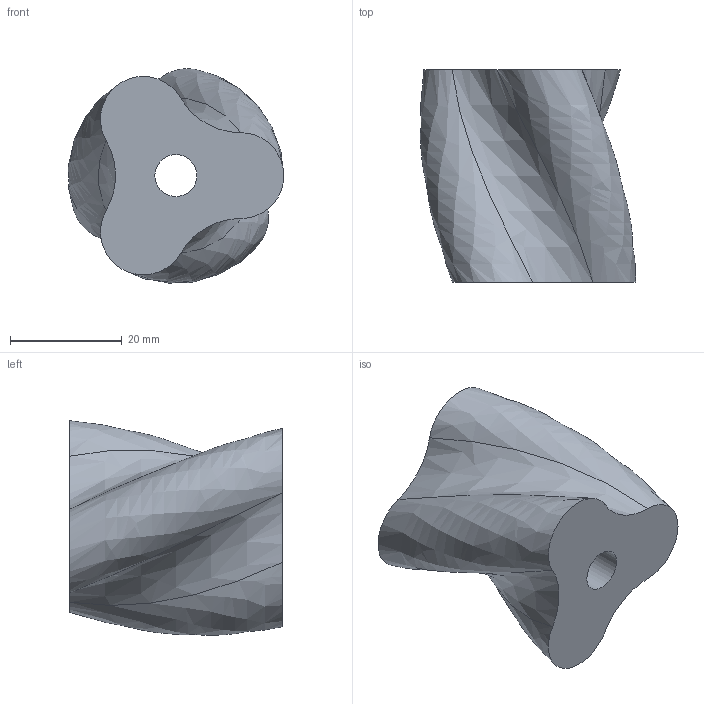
import cadquery as cq
import math

LOBE_COUNT = 3
ROTOR_LENGTH = 38.1
TWIST_ANGLE = 80.0
TIP_RADIUS = 19.35
LOBE_CENTER_RADIUS = 11.65
BORE_DIAMETER = 7.54

LOBE_PITCH = 360.0 / LOBE_COUNT
LOBE_RADIUS = TIP_RADIUS - LOBE_CENTER_RADIUS

VALLEY_CENTER_RADIUS = LOBE_CENTER_RADIUS / math.cos(math.radians(LOBE_PITCH / 2))
VALLEY_RADIUS = LOBE_CENTER_RADIUS * math.tan(math.radians(LOBE_PITCH / 2)) - LOBE_RADIUS
VALLEY_FLOOR_RADIUS = VALLEY_CENTER_RADIUS - VALLEY_RADIUS

JOINT_RADIUS = math.hypot(LOBE_CENTER_RADIUS, LOBE_RADIUS)
JOINT_ANGLE = math.degrees(math.atan2(LOBE_RADIUS, LOBE_CENTER_RADIUS))


def polar(radius, angle):
    """Return the profile point at a radius and an angle in degrees."""
    return (
        radius * math.cos(math.radians(angle)),
        radius * math.sin(math.radians(angle)),
    )


def rotor_profile():
    """Closed outline of alternating lobe and valley arcs, first lobe on +X."""
    profile = cq.Workplane("XZ").moveTo(*polar(JOINT_RADIUS, -JOINT_ANGLE))
    for index in range(LOBE_COUNT):
        lobe_angle = index * LOBE_PITCH
        valley_angle = lobe_angle + LOBE_PITCH / 2
        next_lobe_angle = lobe_angle + LOBE_PITCH
        profile = profile.threePointArc(
            polar(TIP_RADIUS, lobe_angle),
            polar(JOINT_RADIUS, lobe_angle + JOINT_ANGLE),
        )
        profile = profile.threePointArc(
            polar(VALLEY_FLOOR_RADIUS, valley_angle),
            polar(JOINT_RADIUS, next_lobe_angle - JOINT_ANGLE),
        )
    return profile.close()


def rotor_body():
    """Profile swept towards +Y, turning from +X to +Z on the way."""
    return rotor_profile().twistExtrude(-ROTOR_LENGTH, -TWIST_ANGLE)


def bore():
    """Cylinder for the straight through bore on the rotor axis."""
    return cq.Workplane("XZ").circle(BORE_DIAMETER / 2).extrude(-ROTOR_LENGTH)


result = rotor_body().cut(bore())